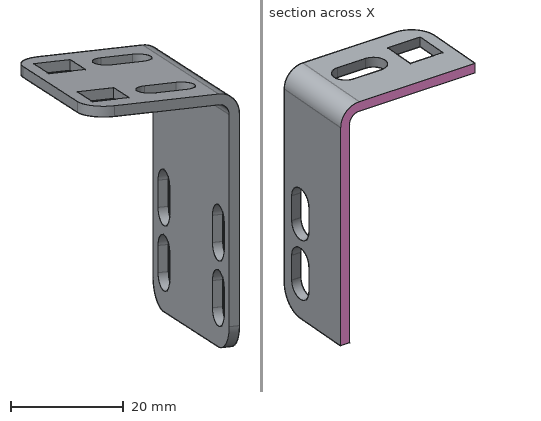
import cadquery as cq

width = 35.0
depth = 29.0
height = 48.0
thickness = 2.0
inner_bend_radius = 2.0
outer_bend_radius = inner_bend_radius + thickness
corner_radius = 5.0

wall_slot_length = 10.3
wall_slot_width = 5.3
wall_slot_spacing = 25.0
wall_slot_heights = (9.0, 21.0)

flange_hole_spacing = 20.0
flange_slot_length = 11.0
flange_slot_width = 5.0
flange_slot_setback = 11.05
square_side = 7.0
flange_row_spacing = 12.0
square_setback = flange_slot_setback + flange_row_spacing

front_y = -depth


def bent_plate():
    """L-shaped side profile with a rounded bend, extruded across the width."""
    profile = (
        cq.Workplane("YZ")
        .moveTo(0, 0)
        .lineTo(0, height - outer_bend_radius)
        .radiusArc((-outer_bend_radius, height), -outer_bend_radius)
        .lineTo(front_y, height)
        .lineTo(front_y, height - thickness)
        .lineTo(-outer_bend_radius, height - thickness)
        .radiusArc((-thickness, height - outer_bend_radius), inner_bend_radius)
        .lineTo(-thickness, 0)
        .close()
    )
    return profile.extrude(width / 2, both=True)


def round_free_corners(plate):
    """Round the two bottom corners of the wall and the two front corners of the flange."""
    plate = plate.faces("<Z").edges("|Y").fillet(corner_radius)
    return plate.faces("<Y").edges("|Z").fillet(corner_radius)


def mirrored_points(spacing, position):
    """Two points at the same position, one on each side of the middle plane."""
    return [(-spacing / 2, position), (spacing / 2, position)]


def wall_slot_cutters():
    """Four upright slots through the wall, in two rows."""
    points = []
    for slot_height in wall_slot_heights:
        points += mirrored_points(wall_slot_spacing, slot_height)
    return (
        cq.Workplane("XZ")
        .pushPoints(points)
        .slot2D(wall_slot_length, wall_slot_width, 90)
        .extrude(thickness)
    )


def flange_plane():
    """Sketch plane on the underside of the flange."""
    return cq.Workplane("XY").workplane(offset=height - thickness)


def flange_slot_cutters():
    """Two slots through the flange, running front to back."""
    return (
        flange_plane()
        .pushPoints(mirrored_points(flange_hole_spacing, -flange_slot_setback))
        .slot2D(flange_slot_length, flange_slot_width, 90)
        .extrude(thickness)
    )


def square_hole_cutters():
    """Two square holes through the flange, in line with its slots."""
    return (
        flange_plane()
        .pushPoints(mirrored_points(flange_hole_spacing, -square_setback))
        .rect(square_side, square_side)
        .extrude(thickness)
    )


bracket = round_free_corners(bent_plate())
bracket = bracket.cut(wall_slot_cutters())
bracket = bracket.cut(flange_slot_cutters())
result = bracket.cut(square_hole_cutters())